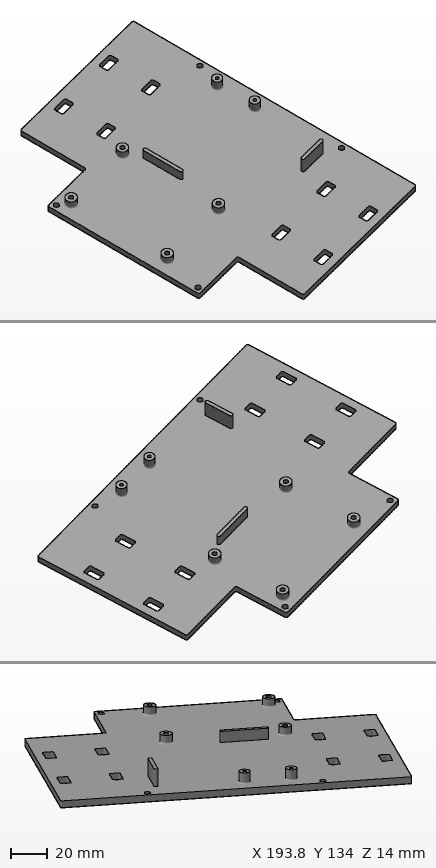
import cadquery as cq

plate_width = 193.8
plate_length = 134.0
plate_thickness = 4.0
tongue_width = 103.7
tongue_length = 34.1
corner_radius = 1.0

screw_hole_diameter = 3.3
screw_hole_spacing = 97.0
screw_hole_inset = 3.5

window_width = 6.0
window_length = 9.9
window_radius = 1.0
window_x_offsets = (59.9, 88.8)
window_y_centers = (62.2, 102.0)

wall_thickness = 2.1
wall_edge_radius = 1.0
long_wall_length = 26.7
long_wall_height = 6.4
long_wall_center = (-19.2, 60.0)
tall_wall_length = 18.0
tall_wall_height = 10.0
tall_wall_center = (41.9, 113.0)

foot_radius = 1.0
large_standoff_diameter = 6.8
large_standoff_bore = 2.7
large_standoff_height = 5.0
large_standoff_x = (-42.8, 22.9)
large_standoff_y = (9.3, 54.7)
small_standoff_diameter = 6.0
small_standoff_bore = 2.0
small_standoff_height = 6.4
small_standoff_x = (-32.2, -6.4)
small_standoff_y = 124.6


def make_plate():
    """Return the T-shaped plate with all its upright corners rounded."""
    wide_length = plate_length - tongue_length
    wide = cq.Workplane("XY").box(plate_width, wide_length, plate_thickness, centered=(True, False, False))
    tongue = cq.Workplane("XY").box(tongue_width, plate_length, plate_thickness, centered=(True, False, False))
    plate = wide.translate((0, tongue_length, 0)).union(tongue).clean()
    return plate.edges("|Z").fillet(corner_radius)


def make_screw_holes():
    """Return the cutters for the four screw holes."""
    half_spacing = screw_hole_spacing / 2
    y_centers = (screw_hole_inset, plate_length - screw_hole_inset)
    points = [(x, y) for x in (-half_spacing, half_spacing) for y in y_centers]
    return cq.Workplane("XY").pushPoints(points).circle(screw_hole_diameter / 2).extrude(plate_thickness)


def make_windows():
    """Return the cutters for the eight windows."""
    points = [(side * x, y) for side in (-1, 1) for x in window_x_offsets for y in window_y_centers]
    windows = cq.Workplane("XY").pushPoints(points).rect(window_width, window_length).extrude(plate_thickness)
    return windows.edges("|Z").fillet(window_radius)


def make_wall(center, x_size, y_size, height):
    """Return a wall standing on the plate, with its upright edges rounded."""
    top_face = cq.Workplane("XY").workplane(offset=plate_thickness)
    wall = top_face.center(*center).rect(x_size, y_size).extrude(height)
    return wall.edges("|Z").fillet(wall_edge_radius)


def make_standoff(center, diameter, bore, height):
    """Return a standoff turned about its own axis, bored down to the plate."""
    bore_radius = bore / 2
    outer_radius = diameter / 2
    foot_arc_center = (outer_radius + foot_radius, foot_radius)
    profile = (
        cq.Workplane("XZ")
        .moveTo(bore_radius, 0)
        .lineTo(foot_arc_center[0], 0)
        .radiusArc((outer_radius, foot_arc_center[1]), foot_radius)
        .lineTo(outer_radius, height)
        .lineTo(bore_radius, height)
        .close()
    )
    return profile.revolve(360, (0, 0), (0, 1)).translate((*center, plate_thickness))


result = make_plate().cut(make_screw_holes()).cut(make_windows())
result = result.union(make_wall(long_wall_center, long_wall_length, wall_thickness, long_wall_height))
result = result.union(make_wall(tall_wall_center, wall_thickness, tall_wall_length, tall_wall_height))

for x in large_standoff_x:
    for y in large_standoff_y:
        standoff = make_standoff((x, y), large_standoff_diameter, large_standoff_bore, large_standoff_height)
        result = result.union(standoff)

for x in small_standoff_x:
    center = (x, small_standoff_y)
    standoff = make_standoff(center, small_standoff_diameter, small_standoff_bore, small_standoff_height)
    result = result.union(standoff)